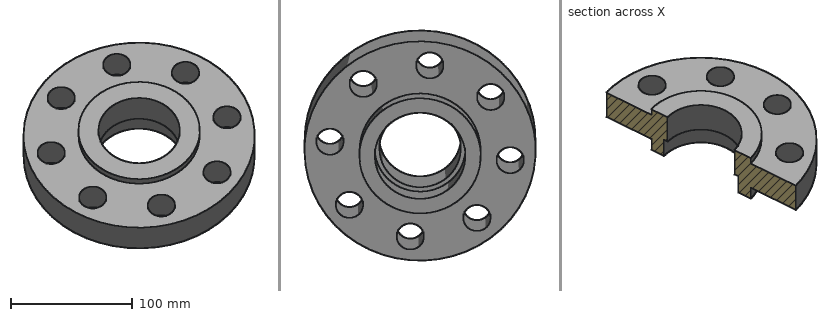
import cadquery as cq

flange_diameter = 190.5
flange_thickness = 28.5
hub_diameter = 100.0
raised_face_height = 6.3
hub_height = 12.5
total_height = hub_height + flange_thickness + raised_face_height

bore_diameter = 67.0
socket_diameter = 74.7
bore_length = 28.5
socket_depth = total_height - bore_length

bolt_count = 8
bolt_hole_diameter = 22.5
bolt_circle_diameter = 149.4
bolt_start_angle = 180.0 / bolt_count


def cylinder(diameter, bottom, height):
    """Upright cylinder on the Z axis, starting at the given bottom height."""
    return cq.Workplane("XY").workplane(offset=bottom).circle(diameter / 2).extrude(height)


def bolt_holes():
    """Cutters for the ring of through holes in the flange."""
    return (
        cq.Workplane("XY")
        .workplane(offset=hub_height)
        .polarArray(bolt_circle_diameter / 2, bolt_start_angle, 360, bolt_count)
        .circle(bolt_hole_diameter / 2)
        .extrude(flange_thickness)
    )


hub = cylinder(hub_diameter, 0, total_height)
flange = cylinder(flange_diameter, hub_height, flange_thickness)
bore = cylinder(bore_diameter, 0, total_height)
socket = cylinder(socket_diameter, 0, socket_depth)

result = hub.union(flange).cut(bore).cut(socket).cut(bolt_holes())